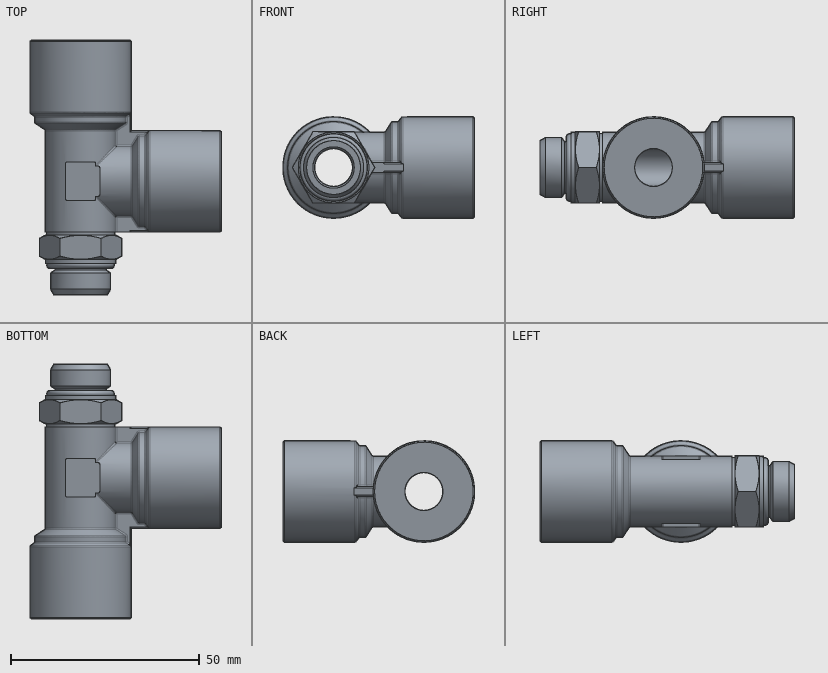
import cadquery as cq
import math


tube_radius = 18.8 / 2
bore_radius = 10.0 / 2
collar_radius = 24.4 / 2
socket_radius = 27.0 / 2
arm_length = 37.5
cone_start = 13.65
collar_start = 15.45
collar_end = 17.2
socket_start = 18.15
arm_fillet = 0.5
socket_rim_chamfer = 0.4

tube_end = -socket_radius
neck_radius = 18.2 / 2
hex_top = -14.3
hex_bottom = -20.8
hex_across_flats = 19.0
hex_chamfer_radius = 18.8 / 2
hex_chamfer_angle = 30.0
flange_bottom = -21.9
seal_outer_radius = 18.0 / 2
seal_section_radius = 0.9
seal_bottom = -23.2
relief_radius = 13.7 / 2
thread_radius = 16.0 / 2
relief_bottom = -23.6
thread_start = -24.4
thread_chamfer_start = -28.7
thread_tip_radius = 14.3 / 2
run_end = -30.2
bore_chamfer = 0.5

web_thickness = 2.7
web_edge = socket_radius
web_overlap = 0.4
web_reach = socket_start + web_overlap
web_chamfer = 0.4
joint_fillet = 0.4

pad_top = 9.45
pad_half_width = 4.0
pad_half_length = 5.1
pad_corner = 0.4


def cylinder_along_y(radius, y_low, y_high):
    """Solid cylinder on the Y axis between two Y positions."""
    return cq.Workplane("XZ", origin=(0, y_high, 0)).circle(radius).extrude(y_high - y_low)


def socket_arm():
    """Arm along +Y: tube, flared collar and socket, with every profile break rounded."""
    profile = [
        (0, 0),
        (tube_radius, 0),
        (tube_radius, cone_start),
        (collar_radius, collar_start),
        (collar_radius, collar_end),
        (socket_radius, socket_start),
        (socket_radius, arm_length),
        (0, arm_length),
    ]
    arm = cq.Workplane("XY").polyline(profile).close().revolve(360, (0, 0), (0, 1))
    breaks = cq.selectors.BoxSelector(
        (-socket_radius, cone_start - arm_fillet, -socket_radius),
        (socket_radius, socket_start + arm_fillet, socket_radius),
    )
    arm = arm.edges("%CIRCLE").edges(breaks).fillet(arm_fillet)
    return arm.faces(">Y").edges().chamfer(socket_rim_chamfer)


def corner_web():
    """L-shaped web in the corner between +X and +Y, chamfered along its free edges."""
    outline = [
        (0, 0),
        (web_reach, 0),
        (web_reach, web_edge),
        (web_edge, web_edge),
        (web_edge, web_reach),
        (0, web_reach),
    ]
    web = cq.Workplane("XY").polyline(outline).close().extrude(web_thickness / 2, both=True)
    free_edges = cq.selectors.BoxSelector(
        (web_edge - web_chamfer, web_edge - web_chamfer, -web_thickness),
        (web_reach, web_reach, web_thickness),
    )
    return web.edges("#Z").edges(free_edges).chamfer(web_chamfer)


def is_tube_joint(edge):
    """True for the saddle between the two tubes and for the lines where a web side meets a tube."""
    if edge.geomType() == "ELLIPSE":
        return True
    center = edge.Center()
    on_web_side = math.isclose(abs(center.z), web_thickness / 2, abs_tol=1e-3)
    on_tube = min(center.x, abs(center.y)) < tube_radius
    return edge.geomType() == "LINE" and on_web_side and on_tube


def tee_body():
    """Run and branch arms joined by the two webs, with the joints rounded."""
    run = socket_arm().union(cylinder_along_y(tube_radius, tube_end, 0))
    branch = socket_arm().rotate((0, 0, 0), (0, 0, 1), -90)
    upper_web = corner_web()
    below_tube = (
        cq.Workplane("XZ", origin=(0, tube_end, 0))
        .rect(2 * arm_length, arm_length)
        .extrude(arm_length)
    )
    lower_web = upper_web.mirror("XZ").cut(below_tube)
    body = run.union(branch).union(upper_web).union(lower_web)
    joints = [edge for edge in body.edges().vals() if is_tube_joint(edge)]
    return body.newObject(joints).fillet(joint_fillet)


def crossing_pads():
    """Flat pads at +Z and -Z: one rectangle along the run merged with one along the branch."""
    pad_depth = 2 * pad_top
    run_pad = (
        cq.Workplane("XY")
        .box(2 * pad_half_width, 2 * pad_half_length, pad_depth)
        .edges("|Z")
        .fillet(pad_corner)
    )
    branch_pad = (
        cq.Workplane("XY")
        .box(pad_half_length, 2 * pad_half_width, pad_depth, centered=(False, True, True))
        .edges("|Z and >X")
        .fillet(pad_corner)
    )
    return run_pad.union(branch_pad)


def hexagon():
    """Spanner hexagon with corners on the X axis, its corners trimmed by a cone at each end."""
    corner_diameter = hex_across_flats / math.cos(math.radians(30))
    prism = (
        cq.Workplane("XZ", origin=(0, hex_top, 0))
        .polygon(6, corner_diameter)
        .extrude(hex_top - hex_bottom)
    )
    corner_radius = corner_diameter / 2
    cone_height = (corner_radius - hex_chamfer_radius) * math.tan(math.radians(hex_chamfer_angle))
    trim_profile = [
        (0, hex_bottom),
        (hex_chamfer_radius, hex_bottom),
        (corner_radius, hex_bottom + cone_height),
        (corner_radius, hex_top - cone_height),
        (hex_chamfer_radius, hex_top),
        (0, hex_top),
    ]
    trim = cq.Workplane("XY").polyline(trim_profile).close().revolve(360, (0, 0), (0, 1))
    return prism.intersect(trim)


def threaded_end():
    """Neck, flange, ring seal, thread relief and plain thread cylinder below the run tube."""
    neck = cylinder_along_y(neck_radius, hex_bottom, tube_end)
    flange = cylinder_along_y(tube_radius, flange_bottom, hex_bottom)
    seal_ring_radius = seal_outer_radius - seal_section_radius
    seal = (
        cq.Workplane("XY")
        .center(-seal_ring_radius, seal_bottom + seal_section_radius)
        .circle(seal_section_radius)
        .revolve(360, (seal_ring_radius, 0), (seal_ring_radius, 1))
    )
    thread_profile = [
        (0, flange_bottom),
        (relief_radius, flange_bottom),
        (relief_radius, relief_bottom),
        (thread_radius, thread_start),
        (thread_radius, thread_chamfer_start),
        (thread_tip_radius, run_end),
        (0, run_end),
    ]
    thread = cq.Workplane("XY").polyline(thread_profile).close().revolve(360, (0, 0), (0, 1))
    return neck.union(hexagon()).union(flange).union(seal).union(thread)


def bores():
    """Through bore of the run, widened at its threaded end, and the branch bore that meets it."""
    run_bore = cylinder_along_y(bore_radius, run_end, arm_length)
    branch_bore = cq.Workplane("YZ").circle(bore_radius).extrude(arm_length)
    entry_profile = [
        (0, run_end),
        (bore_radius + bore_chamfer, run_end),
        (bore_radius, run_end + bore_chamfer),
        (0, run_end + bore_chamfer),
    ]
    entry = cq.Workplane("XY").polyline(entry_profile).close().revolve(360, (0, 0), (0, 1))
    return run_bore.union(branch_bore).union(entry)


result = tee_body().union(crossing_pads()).union(threaded_end()).cut(bores())